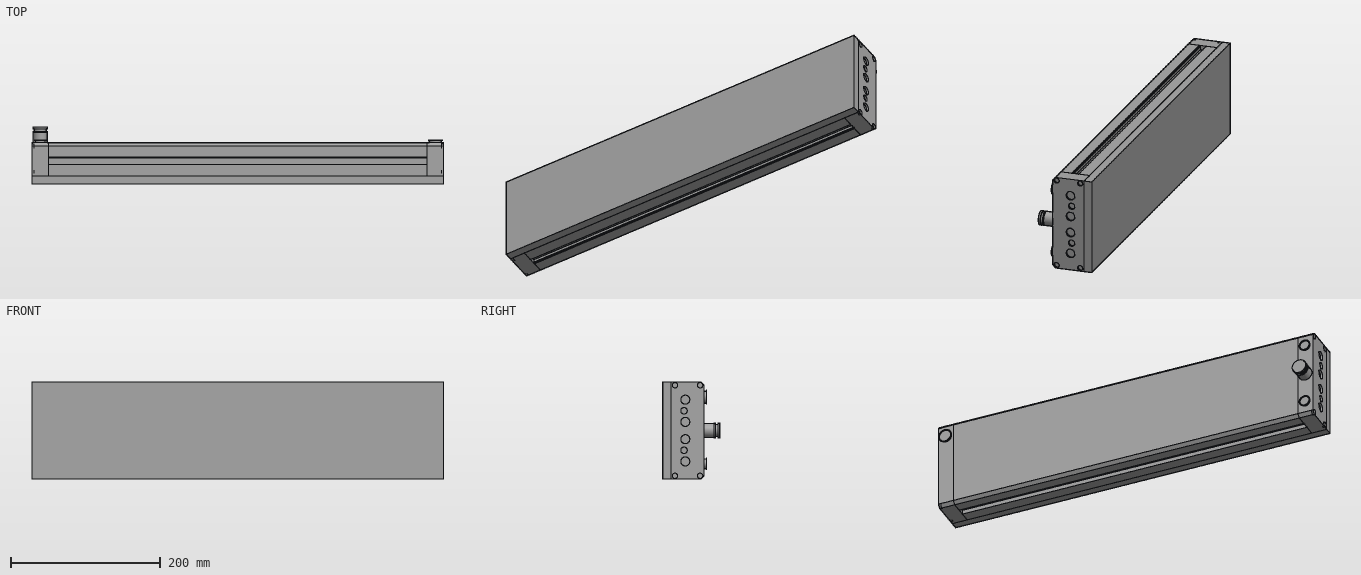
import cadquery as cq

LENGTH = 550.0
HEIGHT = 130.0
BACK_Y = 55.5
CONNECTOR_END_Y = 76.5

COVER_THICKNESS = 11.0
CAP_LENGTH = 22.0
REAR_CHAMFER = 4.5

HALF_LENGTH = LENGTH / 2
HALF_HEIGHT = HEIGHT / 2
PROFILE_LENGTH = LENGTH - 2 * CAP_LENGTH
CAP_MID_X = HALF_LENGTH - CAP_LENGTH / 2

GROOVE_FRONT_Y = 26.5
GROOVE_BACK_Y = 34.5
GROOVE_DEPTH = 6.0
GROOVE_STEP = 1.5

HOLE_DEPTH = 3.0
PORT_DIAMETER = 12.0
PORT_Y = 30.0
PORT_SPACING = 29.5
MOUNT_DIAMETER = 9.0
MOUNT_Y = 28.5
GROUP_Z = 26.5
SCREW_DIAMETER = 7.0
SCREW_INSET_Y = 5.5
SCREW_INSET_Z = 4.5

RIM_RADIUS = 10.0
RING_STEP = 0.3
BARREL_RADIUS = RIM_RADIUS - RING_STEP
CONNECTOR_GROOVE_RADIUS = 8.0
RIM_THICKNESS = 3.0
CONNECTOR_GROOVE_WIDTH = 3.5
RING_THICKNESS = 1.5

PLUG_Z = 44.5
PLUG_HEIGHT = 3.5
PLUG_HEAD_THICKNESS = 0.5
PLUG_LIP = 1.0
SMALL_PLUG_RADIUS = 7.5
LARGE_PLUG_RADIUS = 9.5


def bar_blank(length, middle_x):
    """Block behind the cover, with its two rear long edges chamfered."""
    depth = BACK_Y - COVER_THICKNESS
    blank = cq.Workplane("XY").box(length, depth, HEIGHT)
    blank = blank.edges("|X and >Y").chamfer(REAR_CHAMFER)
    return blank.translate((middle_x, COVER_THICKNESS + depth / 2, 0))


def disc(radius, start_y, end_y, x, z):
    """Round disc along Y between two positions."""
    return (
        cq.Workplane("XZ", origin=(x, start_y, z))
        .circle(radius)
        .extrude(start_y - end_y)
    )


def make_cover():
    """Flat cover over the whole front of the bar."""
    cover_plate = cq.Workplane("XY").box(LENGTH, COVER_THICKNESS, HEIGHT)
    return cover_plate.translate((0, COVER_THICKNESS / 2, 0))


def groove_cutter(back_y, depth, side):
    """Cutter for a groove along the profile: side 1 is the top, -1 the bottom."""
    width = back_y - GROOVE_FRONT_Y
    cutter = cq.Workplane("XY").box(PROFILE_LENGTH, width, 2 * depth)
    return cutter.translate((0, GROOVE_FRONT_Y + width / 2, side * HALF_HEIGHT))


def make_profile():
    """Middle length of the bar, with a groove stepped at its rear lip along its top and its bottom."""
    profile = bar_blank(PROFILE_LENGTH, 0)
    for side in (1, -1):
        profile = profile.cut(groove_cutter(GROOVE_BACK_Y, GROOVE_DEPTH, side))
        profile = profile.cut(groove_cutter(GROOVE_BACK_Y + GROOVE_STEP, GROOVE_STEP, side))
    return profile


def end_holes(side):
    """Cutters for the shallow round holes in the outer face of one cap."""
    ports = [
        (PORT_Y, group * GROUP_Z + offset * PORT_SPACING / 2)
        for group in (1, -1)
        for offset in (1, -1)
    ]
    mounts = [(MOUNT_Y, group * GROUP_Z) for group in (1, -1)]
    screw_z = HALF_HEIGHT - SCREW_INSET_Z
    screws = [
        (y, half * screw_z)
        for y in (COVER_THICKNESS + SCREW_INSET_Y, BACK_Y - SCREW_INSET_Y)
        for half in (1, -1)
    ]
    face = cq.Workplane("YZ", origin=(side * HALF_LENGTH, 0, 0))
    cutters = face.pushPoints(ports).circle(PORT_DIAMETER / 2).extrude(-side * HOLE_DEPTH)
    for points, diameter in ((mounts, MOUNT_DIAMETER), (screws, SCREW_DIAMETER)):
        cutters = cutters.add(face.pushPoints(points).circle(diameter / 2).extrude(-side * HOLE_DEPTH))
    return cutters.combine()


def make_cap(side):
    """End cap with its outer holes: side -1 is the left end, 1 the right."""
    return bar_blank(CAP_LENGTH, side * CAP_MID_X).cut(end_holes(side))


def add_connector(cap):
    """Stepped cable connector: barrel, ring, groove and end rim from front to rear."""
    rim_y = CONNECTOR_END_Y - RIM_THICKNESS
    ring_end_y = rim_y - CONNECTOR_GROOVE_WIDTH
    ring_y = ring_end_y - RING_THICKNESS
    for radius, start_y, end_y in (
        (BARREL_RADIUS, BACK_Y, ring_y),
        (RIM_RADIUS, ring_y, ring_end_y),
        (CONNECTOR_GROOVE_RADIUS, ring_end_y, rim_y),
        (RIM_RADIUS, rim_y, CONNECTOR_END_Y),
    ):
        cap = cap.union(disc(radius, start_y, end_y, -CAP_MID_X, 0))
    return cap


def add_plug(cap, head_radius, x, z):
    """Low plug on the back of a cap, with a thin head wider than its neck."""
    end_y = BACK_Y + PLUG_HEIGHT
    head_y = end_y - PLUG_HEAD_THICKNESS
    cap = cap.union(disc(head_radius - PLUG_LIP, BACK_Y, head_y, x, z))
    return cap.union(disc(head_radius, head_y, end_y, x, z))


cover = make_cover()
profile = make_profile()
left_cap = add_connector(make_cap(-1))
for half in (1, -1):
    left_cap = add_plug(left_cap, SMALL_PLUG_RADIUS, -CAP_MID_X, half * PLUG_Z)
right_cap = add_plug(make_cap(1), LARGE_PLUG_RADIUS, CAP_MID_X, PLUG_Z)

result = cq.Compound.makeCompound([cover.val(), profile.val(), left_cap.val(), right_cap.val()])